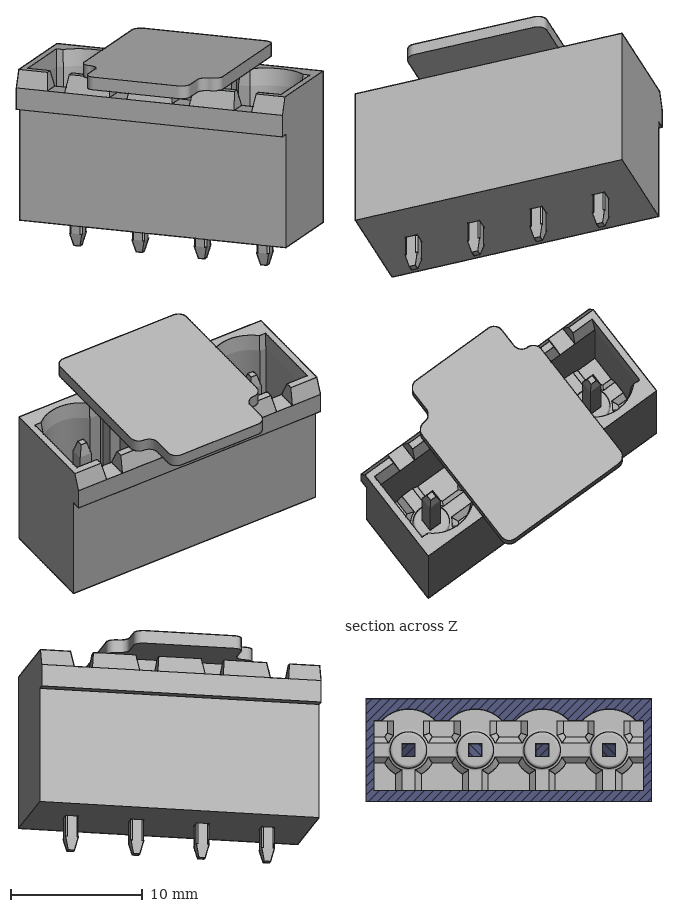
import cadquery as cq
import math

PIN_PITCH = 5.08
PIN_COUNT = 4
PIN_XS = [(i - (PIN_COUNT - 1) / 2) * PIN_PITCH for i in range(PIN_COUNT)]
PIN_SIDE = 1.0
PIN_TIP_SIDE = 0.5
PIN_TAPER = 1.0
PIN_TOP = 10.8
PIN_BOTTOM = -2.63
PIN_CORNER_CHAMFER = 0.13

WIDTH = 21.72
DEPTH = 7.82
HEIGHT = 11.95
BACK_Y = DEPTH / 2
FRONT_Y = -DEPTH / 2
LIP_OVERHANG = 0.72
LIP_BOTTOM = 8.93
BEVEL_HEIGHT = 1.32
BEVEL_DEPTH = 0.52
LIP_Y = FRONT_Y - LIP_OVERHANG
BEVEL_Z = HEIGHT - BEVEL_HEIGHT

CAVITY_SIDE_X = 10.23
CAVITY_FRONT_Y = -3.06
CAVITY_BACK_Y = 2.22
ARC_CREST_Y = 3.1
ARC_HALF_CHORD = 2.06
RIM_SIDE_X = 10.34
RIM_FRONT_Y = -3.56
RIM_BACK_Y = 2.43
RIM_CREST_Y = 3.3
RIM_HALF_CHORD = 2.17

NOTCH_FLOOR_WIDTH = 1.41
NOTCH_TOP_WIDTH = 1.78

FLOOR_Z = 2.6
RIDGE_HEIGHT = 0.48
FLANK = 0.48
LONG_RIDGE_WIDTH = 1.05
FRONT_RIDGE_WIDTH = 1.0
BACK_RIDGE_WIDTH = 2.25
RIDGE_Z = FLOOR_Z + RIDGE_HEIGHT

BOSS_RADIUS = 1.4
BOSS_HEIGHT = 0.5
BOSS_TOP_FILLET = 0.24
BOSS_FOOT_FILLET = 0.2
BOSS_Z = RIDGE_Z + BOSS_HEIGHT
PAD_RADIUS = BOSS_RADIUS + BOSS_FOOT_FILLET

PLATE_THICKNESS = 1.0
PLATE_WIDTH = 11.32
PLATE_TONGUE_WIDTH = 8.35
PLATE_BACK_Y = 7.0
PLATE_SHOULDER_Y = -4.52
PLATE_FRONT_Y = -7.52
PLUG_BOTTOM = 5.43
PLUG_BACK_HALF_WIDTH = 4.5
PLUG_FRONT_HALF_WIDTH = 3.63
PLUG_BACK_Y = 2.05
PLUG_STEP_Y = 1.0
PLUG_FRONT_Y = -2.93


def mirrored(points):
    """Close an outline of right-hand points with their mirror images across X = 0."""
    return points + [(-x, y) for x, y in reversed(points)]


def cavity_outline(plane, side_x, front_y, back_y, crest_y, half_chord):
    """Rectangle whose back edge bulges out in an arc behind each pin."""
    outline = plane.moveTo(-side_x, front_y).lineTo(-side_x, back_y)
    for x in PIN_XS:
        outline = outline.lineTo(x - half_chord, back_y)
        outline = outline.threePointArc((x, crest_y), (x + half_chord, back_y))
    return outline.lineTo(side_x, back_y).lineTo(side_x, front_y).close()


def housing_shell():
    profile = [
        (BACK_Y, 0),
        (BACK_Y, HEIGHT),
        (LIP_Y + BEVEL_DEPTH, HEIGHT),
        (LIP_Y, BEVEL_Z),
        (LIP_Y, LIP_BOTTOM),
        (FRONT_Y, LIP_BOTTOM),
        (FRONT_Y, 0),
    ]
    return cq.Workplane("YZ").polyline(profile).close().extrude(WIDTH / 2, both=True)


def cavity():
    size = (CAVITY_SIDE_X, CAVITY_FRONT_Y, CAVITY_BACK_Y, ARC_CREST_Y, ARC_HALF_CHORD)
    rim_size = (RIM_SIDE_X, RIM_FRONT_Y, RIM_BACK_Y, RIM_CREST_Y, RIM_HALF_CHORD)
    straight = cavity_outline(cq.Workplane().workplane(offset=RIDGE_Z), *size).extrude(BEVEL_Z - RIDGE_Z)
    crease = cavity_outline(cq.Workplane().workplane(offset=BEVEL_Z), *size)
    flared = cavity_outline(crease.workplane(offset=BEVEL_HEIGHT), *rim_size).loft(ruled=True)
    lower = (
        cq.Workplane()
        .workplane(offset=FLOOR_Z)
        .center(0, (CAVITY_FRONT_Y + CAVITY_BACK_Y) / 2)
        .rect(2 * CAVITY_SIDE_X, CAVITY_BACK_Y - CAVITY_FRONT_Y)
        .extrude(RIDGE_HEIGHT)
    )
    return straight.union(flared).union(lower)


def trapezoid(plane, top_width, bottom_width, bottom_z, height):
    """Symmetric trapezoid standing on the level bottom_z."""
    points = mirrored([(bottom_width / 2, bottom_z), (top_width / 2, bottom_z + height)])
    return cq.Workplane(plane).polyline(points).close()


def ridge(plane, top_width):
    return trapezoid(plane, top_width, top_width + 2 * FLANK, FLOOR_Z, RIDGE_HEIGHT)


def notch(x):
    outline = trapezoid("XZ", NOTCH_TOP_WIDTH, NOTCH_FLOOR_WIDTH, BEVEL_Z, BEVEL_HEIGHT)
    return outline.extrude(-LIP_Y).translate((x, 0, 0))


def floor_pattern():
    pattern = ridge("YZ", LONG_RIDGE_WIDTH).extrude(CAVITY_SIDE_X, both=True)
    for x in PIN_XS:
        front_ridge = ridge("XZ", FRONT_RIDGE_WIDTH).extrude(-CAVITY_FRONT_Y)
        back_ridge = ridge("XZ", BACK_RIDGE_WIDTH).extrude(-CAVITY_BACK_Y)
        pad = (
            cq.Workplane()
            .workplane(offset=FLOOR_Z)
            .circle(PAD_RADIUS + FLANK)
            .workplane(offset=RIDGE_HEIGHT)
            .circle(PAD_RADIUS)
            .loft()
        )
        for raised in (front_ridge, back_ridge, pad):
            pattern = pattern.union(raised.translate((x, 0, 0)))
    return pattern


def boss(x):
    """Round boss with a rounded top edge and a hollow fillet at its foot, turned about the pin's axis."""
    diagonal = math.sqrt(0.5)
    foot_z = RIDGE_Z + BOSS_FOOT_FILLET
    crown_r = BOSS_RADIUS - BOSS_TOP_FILLET
    crown_z = BOSS_Z - BOSS_TOP_FILLET
    foot_middle = (PAD_RADIUS - BOSS_FOOT_FILLET * diagonal, foot_z - BOSS_FOOT_FILLET * diagonal)
    crown_middle = (crown_r + BOSS_TOP_FILLET * diagonal, crown_z + BOSS_TOP_FILLET * diagonal)
    profile = (
        cq.Workplane("XZ")
        .moveTo(0, RIDGE_Z)
        .lineTo(PAD_RADIUS, RIDGE_Z)
        .threePointArc(foot_middle, (BOSS_RADIUS, foot_z))
        .lineTo(BOSS_RADIUS, crown_z)
        .threePointArc(crown_middle, (crown_r, BOSS_Z))
        .lineTo(0, BOSS_Z)
        .close()
    )
    return profile.revolve(360, (0, 0), (0, 1)).translate((x, 0, 0))


def square_bar(x, bottom, top):
    bar = cq.Workplane().workplane(offset=bottom).rect(PIN_SIDE, PIN_SIDE).extrude(top - bottom)
    return bar.translate((x, 0, 0))


def make_housing():
    body = housing_shell().cut(cavity()).union(floor_pattern())
    for x in PIN_XS:
        body = body.cut(notch(x)).union(boss(x)).cut(square_bar(x, 0, BOSS_Z))
    return body


def pin_tip(start_z, length):
    """Square taper from the full section at start_z; a negative length points down."""
    wide = cq.Workplane().workplane(offset=start_z).rect(PIN_SIDE, PIN_SIDE)
    return wide.workplane(offset=length).rect(PIN_TIP_SIDE, PIN_TIP_SIDE).loft()


def make_pin(x):
    upper_taper_z = PIN_TOP - PIN_TAPER
    lower_taper_z = PIN_BOTTOM + PIN_TAPER
    tail = square_bar(0, lower_taper_z, 0).edges("|Z").chamfer(PIN_CORNER_CHAMFER)
    shaft = square_bar(0, 0, upper_taper_z)
    pin = shaft.union(tail)
    pin = pin.union(pin_tip(upper_taper_z, PIN_TAPER)).union(pin_tip(lower_taper_z, -PIN_TAPER))
    return pin.translate((x, 0, 0))


def plate():
    """Plate with a narrower tongue; two arcs that touch lead from its full width to the tongue."""
    half = PLATE_WIDTH / 2
    tongue_half = PLATE_TONGUE_WIDTH / 2
    radius = (half - tongue_half) / 2
    right_side = (
        cq.Workplane()
        .workplane(offset=HEIGHT)
        .moveTo(0, PLATE_BACK_Y)
        .lineTo(half - radius, PLATE_BACK_Y)
        .radiusArc((half, PLATE_BACK_Y - radius), radius)
        .lineTo(half, PLATE_SHOULDER_Y + radius)
        .radiusArc((half - radius, PLATE_SHOULDER_Y), radius)
        .radiusArc((tongue_half, PLATE_SHOULDER_Y - radius), -radius)
        .lineTo(tongue_half, PLATE_FRONT_Y + radius)
        .radiusArc((tongue_half - radius, PLATE_FRONT_Y), radius)
        .lineTo(0, PLATE_FRONT_Y)
    )
    return right_side.mirrorY().extrude(PLATE_THICKNESS)


def plug():
    right_side = [
        (PLUG_BACK_HALF_WIDTH, PLUG_BACK_Y),
        (PLUG_BACK_HALF_WIDTH, PLUG_STEP_Y),
        (PLUG_FRONT_HALF_WIDTH, PLUG_STEP_Y),
        (PLUG_FRONT_HALF_WIDTH, PLUG_FRONT_Y),
    ]
    block = cq.Workplane().workplane(offset=PLUG_BOTTOM)
    block = block.polyline(mirrored(right_side)).close().extrude(HEIGHT - PLUG_BOTTOM)
    for x in PIN_XS[1:-1]:
        block = block.cut(square_bar(x, PLUG_BOTTOM, PIN_TOP))
    return block


def make_cover():
    return plate().union(plug())


housing = make_housing()
cover = make_cover()
pins = [make_pin(x) for x in PIN_XS]

result = cq.Compound.makeCompound([housing.val(), cover.val(), *[pin.val() for pin in pins]])